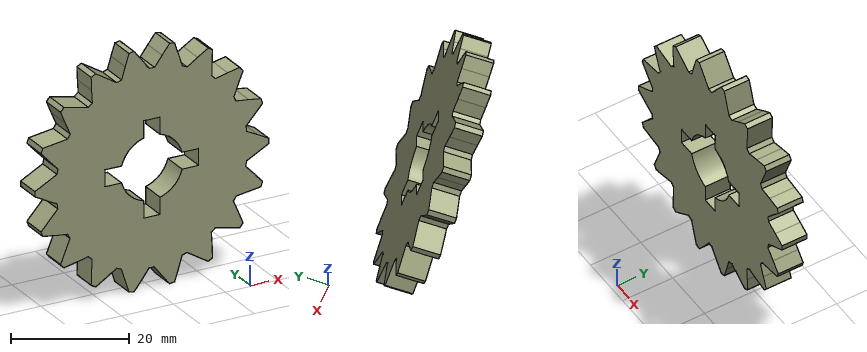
import cadquery as cq
import math

thickness = 5.0
tooth_count = 18
tooth_pitch = 360 / tooth_count

tip_distance = 22.5
tip_half_width = 0.5
trailing_foot_distance = 18.25
trailing_foot_half_width = 2.75
knee_distance = 20.4
knee_half_width = 1.6
leading_foot_distance = 18.22
leading_foot_half_width = 2.7

bore_diameter = 12.0
keyway_span = 18.0
keyway_width = 3.1

tooth_profile = [
    (trailing_foot_distance, -trailing_foot_half_width),
    (tip_distance, -tip_half_width),
    (tip_distance, tip_half_width),
    (knee_distance, knee_half_width),
    (leading_foot_distance, leading_foot_half_width),
]


def turned(point, angle):
    """A point turned about the axis, from +X towards +Z."""
    x, z = point
    turn = math.radians(angle)
    return (x * math.cos(turn) - z * math.sin(turn), x * math.sin(turn) + z * math.cos(turn))


def through_prism(sketch):
    """The sketch extruded through the thickness, centred on the XZ plane."""
    return sketch.extrude(thickness / 2, both=True)


def toothed_disc():
    """Disc with a tooth on +X; short straight roots join each tooth to the next."""
    outline = []
    for tooth in range(tooth_count):
        outline += [turned(point, tooth * tooth_pitch) for point in tooth_profile]
    return through_prism(cq.Workplane("XZ").polyline(outline).close())


def keyed_bore():
    """Through bore crossed by two slots, which form the four keyways."""
    plane = cq.Workplane("XZ")
    bore = through_prism(plane.circle(bore_diameter / 2))
    slot_along_x = through_prism(plane.rect(keyway_span, keyway_width))
    slot_along_z = through_prism(plane.rect(keyway_width, keyway_span))
    return bore.union(slot_along_x).union(slot_along_z)


result = toothed_disc().cut(keyed_bore())